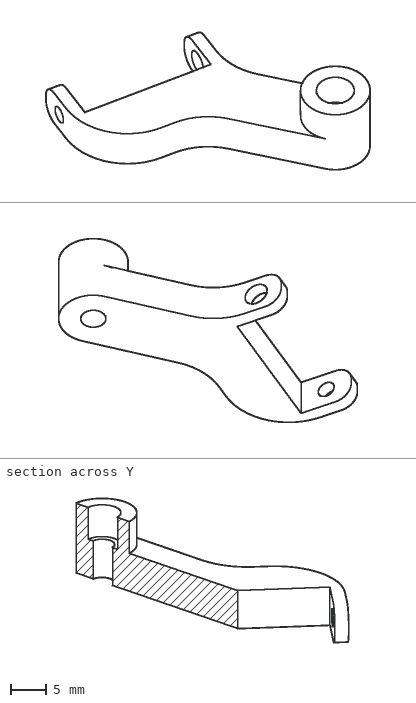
import cadquery as cq
import math

overall_length = 46.55
arm_height = 6.0
overall_height = 11.0
boss_radius = 5.0
bore_diameter = 3.6
counterbore_diameter = 5.4
counterbore_depth = overall_height - arm_height

fork_gap = 20.5
lug_length = 8.0
lug_thickness = 2.0
lug_tip_radius = 2.5
hole_from_tip = 4.0
upper_hole_diameter = 3.5
lower_hole_diameter = 2.5
web_width = 8.0
bend_radius = 10.0

DIAGONAL = math.sqrt(0.5)
along_floor = cq.Vector(-DIAGONAL, -DIAGONAL, 0)
along_lug = cq.Vector(-DIAGONAL, DIAGONAL, 0)

fork_left = boss_radius - overall_length
lower_reach = (fork_gap + lug_thickness + lug_length) * DIAGONAL
upper_corner = cq.Vector(fork_left + lower_reach, boss_radius, 0)


def fork_point(across, out):
    """Point at a distance along the fork floor and outward along the lugs."""
    return upper_corner + along_floor * across + along_lug * out


def make_arm():
    lower_face = fork_gap + lug_thickness
    upper_tip = fork_point(-lug_thickness, lug_length)
    back_corner = fork_point(lower_face, -web_width)

    upper_bend_x = upper_tip.x + upper_tip.y - boss_radius
    lower_bend_x = back_corner.x - back_corner.y - boss_radius
    bends = [
        (upper_bend_x, boss_radius),
        (lower_bend_x, -boss_radius),
        (back_corner.x, back_corner.y),
    ]
    outline = [
        fork_point(0, 0),
        fork_point(0, lug_length),
        upper_tip,
        bends[0],
        (0, boss_radius),
        (0, -boss_radius),
        bends[1],
        bends[2],
        fork_point(lower_face, lug_length),
        fork_point(fork_gap, lug_length),
        fork_point(fork_gap, 0),
    ]
    arm = cq.Workplane("XY").polyline(outline).close().extrude(arm_height)
    for x, y in bends:
        corner_edge = cq.selectors.NearestToPointSelector((x, y, arm_height / 2))
        arm = arm.edges("|Z").edges(corner_edge).fillet(bend_radius)

    tip_faces = arm.faces(cq.selectors.DirectionMinMaxSelector(along_lug, True))
    return tip_faces.edges("#Z").edges(cq.selectors.ParallelDirSelector(along_floor)).fillet(lug_tip_radius)


def lug_hole(across, diameter):
    """Cutter through one lug, starting on its face nearest the upper end."""
    start = fork_point(across, lug_length - hole_from_tip) + cq.Vector(0, 0, arm_height / 2)
    return cq.Workplane(cq.Solid.makeCylinder(diameter / 2, lug_thickness, start, along_floor))


boss = cq.Workplane("XY").circle(boss_radius).extrude(overall_height)
bracket = make_arm().union(boss)

bracket = (
    bracket.faces(">Z").workplane(origin=(0, 0, overall_height))
    .cboreHole(bore_diameter, counterbore_diameter, counterbore_depth)
)

bracket = bracket.cut(lug_hole(-lug_thickness, upper_hole_diameter))
result = bracket.cut(lug_hole(fork_gap, lower_hole_diameter))